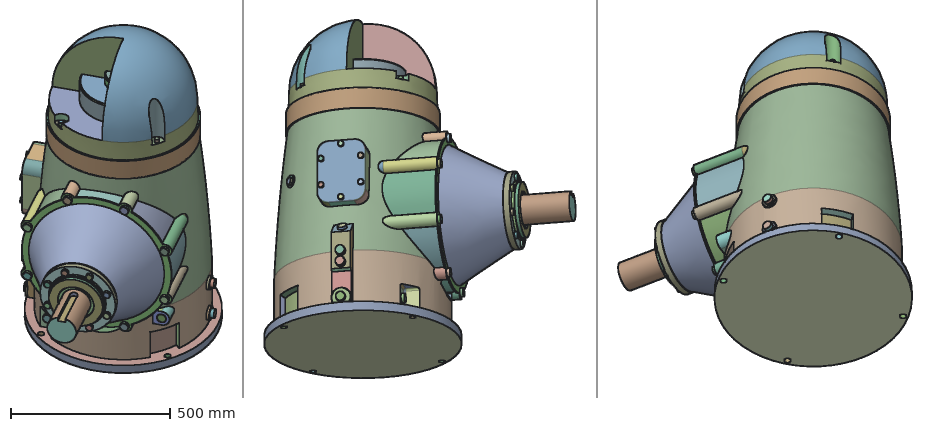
import cadquery as cq
import math

FLANGE_RADIUS = 310.0
FLANGE_HEIGHT = 30.0
FLANGE_BOLT_RADIUS = 293.0
FLANGE_HOLE_DIAMETER = 20.0

BASE_RADIUS = 279.0
BASE_TOP = 214.0
TAPER_MIDDLE_RADIUS = 264.0
TAPER_MIDDLE_HEIGHT = 450.0
TAPER_TOP_RADIUS = 238.0
BAND_RADIUS = 242.0
BAND_BOTTOM = 702.0
BAND_TOP = 770.0
COLLAR_RADIUS = 236.0
DOME_RADIUS = 233.0
TOTAL_HEIGHT = 1069.97
DOME_BASE = TOTAL_HEIGHT - DOME_RADIUS

HUB_RADIUS = 138.0
HUB_TOP = 905.0
HUB_CAP_RADIUS = 59.0
HUB_CAP_TOP = 934.0
HUB_CHAMFER = 4.0
HUB_TIP_RADIUS = 24.0
HUB_TIP_HEIGHT = 3.0

POCKET_OFFSET = 157.0
POCKET_RADIUS = 25.0
POCKET_FLOOR = 813.0
POCKET_BOLT_RADIUS = 8.0
POCKET_BOLT_HEIGHT = 12.0

SHAFT_HEIGHT = 407.0
WALL_RADIUS = 240.0
WALL_START = 100.0
JOINT_START = 288.0
JOINT_END = 293.0
JOINT_RADIUS = 245.0
HOUSING_BOLT_CIRCLE = 243.0
BOLT_COUNT = 8
BOSS_RADIUS = 22.0
BOSS_START = 120.0
HOUSING_BOLT_RADIUS = 14.0
HOUSING_BOLT_HEIGHT = 10.0
CONE_LARGE_RADIUS = 222.0
CONE_SMALL_RADIUS = 120.0
CONE_END = 478.0
END_RING_RADIUS = 123.0
END_RING_END = 499.0
SEAL_RIM_RADIUS = 93.0
SEAL_RIM_END = 508.0
SEAL_COVER_RADIUS = 88.0
SEAL_COVER_END = 520.0
SEAL_BORE_RADIUS = 59.0
SEAL_BORE_DEPTH = 6.0
COVER_BOLT_CIRCLE = 105.0
COVER_BOLT_RADIUS = 11.0
COVER_BOLT_HEIGHT = 9.0
SHAFT_RADIUS = 47.5
SHAFT_END = 674.17
KEYWAY_WIDTH = 25.0
KEYWAY_DEPTH = 14.0
KEYWAY_START = 531.0

RELIEF_WIDTH = 146.0
RELIEF_START = 250.0
RELIEF_END_RADIUS = 278.0

BOX_FACE = 309.5
BOX_WIDTH = 155.0
BOX_HEIGHT = 205.0
BOX_CENTER_HEIGHT = 470.0
BOX_CORNER_RADIUS = 36.0
BOX_EDGE_FILLET = 2.0
BOX_SCREW_RADIUS = 9.0
BOX_SCREW_HEIGHT = 7.0
BOX_SCREW_END_OFFSET = 89.0
BOX_SCREW_SIDE_OFFSET = 64.0
BOX_SCREW_SIDE_RISE = 44.0

STRIP_WIDTH = 62.0
STRIP_FACE = 312.5
STRIP_FOOT_FACE = 305.0
STRIP_ROOT = 272.0
STRIP_TOP = 304.0
STRIP_SLOPE_BOTTOM = 265.0
STRIP_STEP_TOP = 143.0
STRIP_STEP_BOTTOM = 135.0
PLUG_RADIUS = 15.0
STRIP_PLUG_TIP = 328.11
STRIP_PLUG_HEIGHTS = (163.0, 200.0)
FOOT_PLUG_HEIGHT = 47.0
FOOT_PLUG_TIP = 322.0
SLOPE_PLUG_LENGTH = 9.0

SIDE_PLUG_HEIGHTS = (69.0, 186.0)
SIDE_PLUG_SEAT_RADIUS = 23.0
SIDE_PLUG_SEAT = 287.0
SIDE_PLUG_TIP = 300.0
REAR_PLUG_HEIGHT = 496.0
REAR_PLUG_ANGLE = 133.0
REAR_PLUG_SEAT_RADIUS = 20.0
REAR_PLUG_SEAT = 263.0
REAR_PLUG_HEAD_RADIUS = 12.0
REAR_PLUG_TIP = 270.0

PAD_X = 193.0
PAD_HEIGHT = 185.0
PAD_RADIUS = 26.0
PAD_FACE = 226.0
PAD_ROOT = 160.0
PAD_PLUG_HEIGHT = 1.0
NOTCH_WIDTH = 103.0
NOTCH_FLOOR_RADIUS = 260.0
NOTCH_TOP = 127.0
NOTCH_TOP_DROP = 7.0
NOTCH_ANGLES = (-45, 45, 135)
DRAIN_NOTCH_CORNER = 170.0
DRAIN_NOTCH_TOP = 110.0
DRAIN_NOTCH_FILLET = 7.0
DRAIN_PLUG_X = -195.0
DRAIN_PLUG_HEIGHT = 71.0
DRAIN_PLUG_LENGTH = 10.0


def shaft_cylinder(radius, start, end, x=0.0, z=SHAFT_HEIGHT):
    """Cylinder parallel to the output shaft between two distances towards -Y."""
    return cq.Workplane("XZ", origin=(x, -start, z)).circle(radius).extrude(end - start)


def side_cylinder(radius, start, end, y, z):
    """Cylinder parallel to X between two X positions."""
    return cq.Workplane("YZ", origin=(start, y, z)).circle(radius).extrude(end - start)


def circle_points(radius, count):
    """Equally spaced points about the shaft axis, straddling the vertical."""
    step = 2 * math.pi / count
    angles = [(i + 0.5) * step for i in range(count)]
    return [(radius * math.cos(a), SHAFT_HEIGHT + radius * math.sin(a)) for a in angles]


def make_body():
    """Flange, base, tapered wall, band, collar and dome in one revolved solid."""
    diagonal = DOME_RADIUS * math.sqrt(0.5)
    return (
        cq.Workplane("XZ")
        .lineTo(FLANGE_RADIUS, 0)
        .lineTo(FLANGE_RADIUS, FLANGE_HEIGHT)
        .lineTo(BASE_RADIUS, FLANGE_HEIGHT)
        .lineTo(BASE_RADIUS, BASE_TOP)
        .threePointArc((TAPER_MIDDLE_RADIUS, TAPER_MIDDLE_HEIGHT), (TAPER_TOP_RADIUS, BAND_BOTTOM))
        .lineTo(BAND_RADIUS, BAND_BOTTOM)
        .lineTo(BAND_RADIUS, BAND_TOP)
        .lineTo(COLLAR_RADIUS, BAND_TOP)
        .lineTo(DOME_RADIUS, DOME_BASE)
        .threePointArc((diagonal, DOME_BASE + diagonal), (0, TOTAL_HEIGHT))
        .close()
        .revolve(360, (0, 0, 0), (0, 1, 0))
    )


def open_dome_quarter(body):
    """Remove the -X -Y quarter of the dome and leave the stepped hub standing in it."""
    quarter = cq.Workplane("XY", origin=(0, 0, DOME_BASE)).box(
        DOME_RADIUS, DOME_RADIUS, DOME_RADIUS, centered=False
    ).translate((-DOME_RADIUS, -DOME_RADIUS, 0))
    hub = cq.Workplane("XY", origin=(0, 0, DOME_BASE)).circle(HUB_RADIUS).extrude(HUB_TOP - DOME_BASE)
    cap = cq.Workplane("XY", origin=(0, 0, HUB_TOP)).circle(HUB_CAP_RADIUS).extrude(HUB_CAP_TOP - HUB_TOP)
    hub = hub.faces(">Z").edges().chamfer(HUB_CHAMFER)
    cap = cap.faces(">Z").edges().chamfer(HUB_CHAMFER)
    tip = cq.Workplane("XY", origin=(0, 0, HUB_CAP_TOP)).circle(HUB_TIP_RADIUS).extrude(HUB_TIP_HEIGHT)
    return body.cut(quarter.cut(hub).cut(cap).cut(tip))


def cut_dome_pockets(body):
    """Four vertical pockets on the diagonals, each with a bolt on its floor."""
    centers = [(sx * POCKET_OFFSET, sy * POCKET_OFFSET) for sx in (-1, 1) for sy in (-1, 1)]
    floor = cq.Workplane("XY", origin=(0, 0, POCKET_FLOOR)).pushPoints(centers)
    pockets = floor.circle(POCKET_RADIUS).extrude(DOME_RADIUS)
    bolts = floor.circle(POCKET_BOLT_RADIUS).extrude(POCKET_BOLT_HEIGHT)
    return body.cut(pockets).union(bolts)


def cut_flange_holes(body):
    """Four through holes in the flange on the diagonals."""
    offset = FLANGE_BOLT_RADIUS * math.sqrt(0.5)
    holes = (
        cq.Workplane("XY")
        .rect(2 * offset, 2 * offset, forConstruction=True)
        .vertices()
        .circle(FLANGE_HOLE_DIAMETER / 2)
        .extrude(FLANGE_HEIGHT)
    )
    return body.cut(holes)


def cut_wrench_notches(body):
    """Shallow notches with a curved floor and a sloping top above three of the flange holes."""
    ring = (
        cq.Workplane("XZ")
        .moveTo(NOTCH_FLOOR_RADIUS, FLANGE_HEIGHT)
        .lineTo(BASE_RADIUS, FLANGE_HEIGHT)
        .lineTo(BASE_RADIUS, NOTCH_TOP)
        .lineTo(NOTCH_FLOOR_RADIUS, NOTCH_TOP - NOTCH_TOP_DROP)
        .close()
        .revolve(360, (0, 0, 0), (0, 1, 0))
    )
    limit = cq.Workplane("XY").box(
        FLANGE_RADIUS, NOTCH_WIDTH, NOTCH_TOP, centered=(False, True, False)
    )
    notch = ring.intersect(limit)
    for angle in NOTCH_ANGLES:
        body = body.cut(notch.rotate((0, 0, 0), (0, 0, 1), angle))
    return body


def cut_drain_notch(body):
    """Square-cornered notch on the -X -Y diagonal with the drain plug in its front face."""
    size = BASE_RADIUS - DRAIN_NOTCH_CORNER
    middle = DRAIN_NOTCH_CORNER + size / 2
    notch = (
        cq.Workplane("XY", origin=(-middle, -middle, FLANGE_HEIGHT))
        .box(size, size, DRAIN_NOTCH_TOP - FLANGE_HEIGHT, centered=(True, True, False))
        .edges("(>X and >Y) or (>X and >Z) or (>Y and >Z)")
        .fillet(DRAIN_NOTCH_FILLET)
    )
    plug_root = DRAIN_NOTCH_CORNER - DRAIN_PLUG_LENGTH
    plug_end = DRAIN_NOTCH_CORNER + DRAIN_PLUG_LENGTH
    plug = shaft_cylinder(PLUG_RADIUS, plug_root, plug_end, DRAIN_PLUG_X, DRAIN_PLUG_HEIGHT)
    return body.cut(notch).union(plug)


def cut_relief(body):
    """Conical clearance in the base just below the housing wall."""
    ring = (
        cq.Workplane("XY")
        .moveTo(0, -RELIEF_START)
        .lineTo(WALL_RADIUS, -RELIEF_START)
        .lineTo(RELIEF_END_RADIUS, -BASE_RADIUS)
        .lineTo(RELIEF_END_RADIUS, -JOINT_START)
        .lineTo(0, -JOINT_START)
        .close()
        .revolve(360, (0, 0, 0), (0, 1, 0))
        .translate((0, 0, SHAFT_HEIGHT))
    )
    limit = cq.Workplane("XY").box(
        RELIEF_WIDTH, 2 * FLANGE_RADIUS, SHAFT_HEIGHT, centered=(True, True, False)
    )
    return body.cut(ring.intersect(limit))


def make_housing():
    """Output housing: wall, bolt bosses, cone, end ring and seal cover."""
    housing = shaft_cylinder(WALL_RADIUS, WALL_START, JOINT_START)
    housing = housing.union(shaft_cylinder(JOINT_RADIUS, JOINT_START, JOINT_END))
    for x, z in circle_points(HOUSING_BOLT_CIRCLE, BOLT_COUNT):
        tip = cq.Workplane("XY", origin=(x, -BOSS_START, z)).sphere(BOSS_RADIUS)
        boss = shaft_cylinder(BOSS_RADIUS, BOSS_START, JOINT_END, x, z)
        bolt = shaft_cylinder(HOUSING_BOLT_RADIUS, JOINT_START, JOINT_END + HOUSING_BOLT_HEIGHT, x, z)
        housing = housing.union(boss.union(tip)).union(bolt)
    cover = (
        cq.Workplane("XY")
        .moveTo(0, -JOINT_START)
        .lineTo(CONE_LARGE_RADIUS, -JOINT_START)
        .lineTo(CONE_LARGE_RADIUS, -JOINT_END)
        .lineTo(CONE_SMALL_RADIUS, -CONE_END)
        .lineTo(END_RING_RADIUS, -CONE_END)
        .lineTo(END_RING_RADIUS, -END_RING_END)
        .lineTo(SEAL_RIM_RADIUS, -END_RING_END)
        .lineTo(SEAL_RIM_RADIUS, -SEAL_RIM_END)
        .lineTo(SEAL_COVER_RADIUS, -SEAL_RIM_END)
        .lineTo(SEAL_COVER_RADIUS, -SEAL_COVER_END)
        .lineTo(SEAL_BORE_RADIUS, -SEAL_COVER_END)
        .lineTo(SEAL_BORE_RADIUS, -SEAL_COVER_END + SEAL_BORE_DEPTH)
        .lineTo(0, -SEAL_COVER_END + SEAL_BORE_DEPTH)
        .close()
        .revolve(360, (0, 0, 0), (0, 1, 0))
        .translate((0, 0, SHAFT_HEIGHT))
    )
    housing = housing.union(cover)
    for x, z in circle_points(COVER_BOLT_CIRCLE, BOLT_COUNT):
        bolt = shaft_cylinder(COVER_BOLT_RADIUS, CONE_END, END_RING_END + COVER_BOLT_HEIGHT, x, z)
        housing = housing.union(bolt)
    return housing


def make_shaft():
    """Output shaft with an open-ended keyway along its top."""
    shaft = shaft_cylinder(SHAFT_RADIUS, CONE_END, SHAFT_END)
    keyway_floor = SHAFT_HEIGHT + SHAFT_RADIUS - KEYWAY_DEPTH
    round_center = KEYWAY_START + KEYWAY_WIDTH / 2
    length = SHAFT_END - round_center
    floor = cq.Workplane("XY", origin=(0, -round_center, keyway_floor))
    round_end = floor.circle(KEYWAY_WIDTH / 2).extrude(SHAFT_RADIUS)
    straight = floor.center(0, -length / 2).rect(KEYWAY_WIDTH, length).extrude(SHAFT_RADIUS)
    return shaft.cut(round_end).cut(straight)


def make_terminal_box():
    """Rounded box on the -X side with six cover screws."""
    box = (
        cq.Workplane("YZ", origin=(-BOX_FACE, 0, BOX_CENTER_HEIGHT))
        .rect(BOX_WIDTH, BOX_HEIGHT)
        .extrude(BOX_FACE - TAPER_TOP_RADIUS)
        .edges("|X")
        .fillet(BOX_CORNER_RADIUS)
        .faces("<X")
        .edges()
        .fillet(BOX_EDGE_FILLET)
    )
    points = [(0, s * BOX_SCREW_END_OFFSET) for s in (-1, 1)]
    for sy in (-1, 1):
        for sz in (-1, 1):
            points.append((sy * BOX_SCREW_SIDE_OFFSET, sz * BOX_SCREW_SIDE_RISE))
    tip = BOX_FACE + BOX_SCREW_HEIGHT
    screws = (
        cq.Workplane("YZ", origin=(-tip, 0, BOX_CENTER_HEIGHT))
        .pushPoints(points)
        .circle(BOX_SCREW_RADIUS)
        .extrude(tip - TAPER_TOP_RADIUS)
    )
    return box.union(screws)


def make_strip():
    """Channel strip with a sloped top, a stepped-back foot and its plugs."""
    strip = (
        cq.Workplane("XZ", origin=(0, STRIP_WIDTH / 2, 0))
        .moveTo(-TAPER_TOP_RADIUS, FLANGE_HEIGHT)
        .lineTo(-STRIP_FOOT_FACE, FLANGE_HEIGHT)
        .lineTo(-STRIP_FOOT_FACE, STRIP_STEP_BOTTOM)
        .lineTo(-STRIP_FACE, STRIP_STEP_TOP)
        .lineTo(-STRIP_FACE, STRIP_SLOPE_BOTTOM)
        .lineTo(-STRIP_ROOT, STRIP_TOP)
        .lineTo(-TAPER_TOP_RADIUS, STRIP_TOP)
        .close()
        .extrude(STRIP_WIDTH)
    )
    for height in STRIP_PLUG_HEIGHTS:
        strip = strip.union(side_cylinder(PLUG_RADIUS, -STRIP_PLUG_TIP, -STRIP_ROOT, 0, height))
    foot_pad = side_cylinder(STRIP_WIDTH / 2, -STRIP_FACE, -STRIP_ROOT, 0, FOOT_PLUG_HEIGHT)
    above_flange = cq.Workplane("XY", origin=(0, 0, FLANGE_HEIGHT)).box(
        2 * STRIP_FACE, STRIP_WIDTH, STRIP_TOP, centered=(True, True, False)
    )
    foot_plug = side_cylinder(PLUG_RADIUS, -FOOT_PLUG_TIP, -STRIP_ROOT, 0, FOOT_PLUG_HEIGHT)
    strip = strip.union(foot_pad.intersect(above_flange)).union(foot_plug)

    run = STRIP_FACE - STRIP_ROOT
    rise = STRIP_TOP - STRIP_SLOPE_BOTTOM
    slope_center = (-(STRIP_FACE + STRIP_ROOT) / 2, 0, (STRIP_TOP + STRIP_SLOPE_BOTTOM) / 2)
    slope = cq.Plane(origin=slope_center, xDir=(0, 1, 0), normal=(-rise, 0, run))
    slope_plug = cq.Workplane(slope).circle(PLUG_RADIUS).extrude(SLOPE_PLUG_LENGTH)
    return strip.union(slope_plug)


def make_small_plugs():
    """Plugs on the +X side, the radial rear plug and the rounded front pad."""
    plugs = []
    for height in SIDE_PLUG_HEIGHTS:
        seat = side_cylinder(SIDE_PLUG_SEAT_RADIUS, TAPER_TOP_RADIUS, SIDE_PLUG_SEAT, 0, height)
        plugs.append(seat.union(side_cylinder(PLUG_RADIUS, TAPER_TOP_RADIUS, SIDE_PLUG_TIP, 0, height)))
    rear_seat = side_cylinder(REAR_PLUG_SEAT_RADIUS, TAPER_TOP_RADIUS, REAR_PLUG_SEAT, 0, REAR_PLUG_HEIGHT)
    rear_head = side_cylinder(REAR_PLUG_HEAD_RADIUS, TAPER_TOP_RADIUS, REAR_PLUG_TIP, 0, REAR_PLUG_HEIGHT)
    plugs.append(rear_seat.union(rear_head).rotate((0, 0, 0), (0, 0, 1), REAR_PLUG_ANGLE))
    pad = shaft_cylinder(PAD_RADIUS, PAD_ROOT, PAD_FACE, PAD_X, PAD_HEIGHT)
    pad_web = cq.Workplane("XY", origin=(0, -PAD_FACE, PAD_HEIGHT - PAD_RADIUS)).box(
        PAD_X, PAD_FACE - PAD_ROOT, 2 * PAD_RADIUS, centered=False
    )
    pad_plug = shaft_cylinder(PLUG_RADIUS, PAD_ROOT, PAD_FACE + PAD_PLUG_HEIGHT, PAD_X, PAD_HEIGHT)
    plugs.append(pad.union(pad_web).union(pad_plug))
    return plugs


body = open_dome_quarter(make_body())
body = cut_dome_pockets(body)
body = cut_flange_holes(body)
body = cut_wrench_notches(body)
body = cut_drain_notch(body)
body = cut_relief(body)

result = body.union(make_housing()).union(make_shaft()).union(make_terminal_box()).union(make_strip())
for plug in make_small_plugs():
    result = result.union(plug)